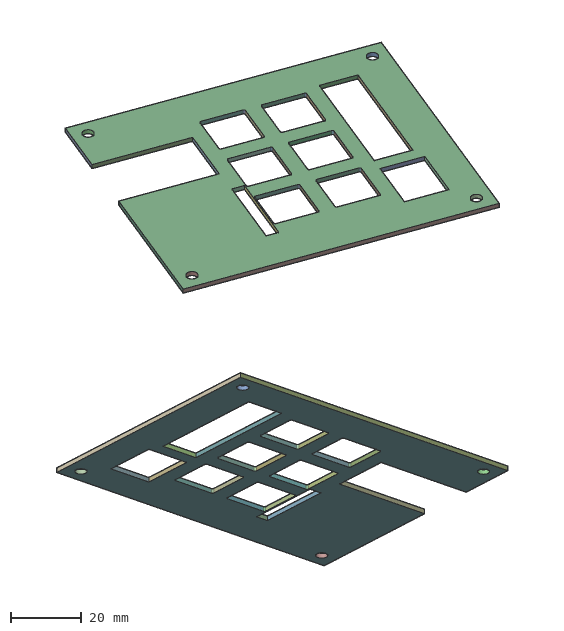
import cadquery as cq

plate_width = 82.0
plate_length = 98.0
thickness = 1.5

hole_diameter = 3.4
hole_inset = 4.9

key_size = 14.0
key_pitch = 19.0
key_corner_radius = 0.5
middle_column_x = 38.8
lower_row_y = 42.9

window_bottom = 73.8
display_left = 11.2
display_width = 38.2
display_height = 12.0
side_opening_left = 53.5
side_opening_width = 16.9
side_opening_height = 13.8

slot_left = 45.1
slot_bottom = 31.6
slot_width = 23.8
slot_height = 3.9

notch_left = 18.6
notch_width = 18.5
notch_depth = 31.2


def block(left, bottom, width, height):
    """Box through the plate thickness, placed by its lower left corner."""
    return cq.Workplane("XY").box(width, height, thickness, centered=False).translate((left, bottom, 0))


def key_opening(center_x, center_y):
    """Square opening with slightly rounded corners, placed by its center."""
    opening = block(center_x - key_size / 2, center_y - key_size / 2, key_size, key_size)
    return opening.edges("|Z").fillet(key_corner_radius)


result = block(0, 0, plate_width, plate_length)

for x in (hole_inset, plate_width - hole_inset):
    for y in (hole_inset, plate_length - hole_inset):
        hole = cq.Workplane("XY").center(x, y).circle(hole_diameter / 2).extrude(thickness)
        result = result.cut(hole)

for column in (-1, 0, 1):
    for row in (0, 1):
        result = result.cut(key_opening(middle_column_x + column * key_pitch, lower_row_y + row * key_pitch))

result = result.cut(block(display_left, window_bottom, display_width, display_height))
result = result.cut(block(side_opening_left, window_bottom, side_opening_width, side_opening_height))
result = result.cut(block(slot_left, slot_bottom, slot_width, slot_height))
result = result.cut(block(notch_left, 0, notch_width, notch_depth))